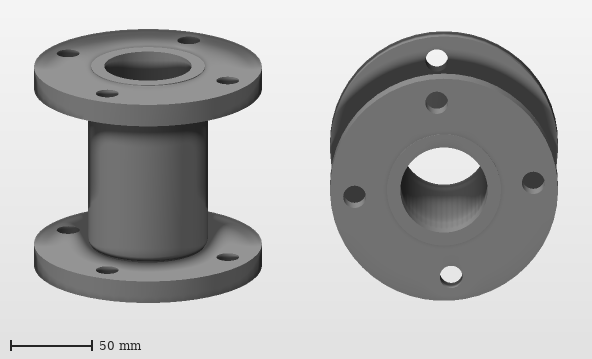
import cadquery as cq

flange_diameter = 140.0
flange_thickness = 14.0
overall_height = 130.0

collar_diameter = 70.0
collar_height = 0.5

body_diameter = 73.5
body_edge_radius = 3.2
bore_diameter = 53.6

bolt_hole_diameter = 14.0
bolt_circle_diameter = 110.0
bolt_hole_count = 4
first_bolt_angle = 45.0

lower_flange_base = collar_height
upper_flange_base = overall_height - collar_height - flange_thickness
body_base = lower_flange_base + flange_thickness + collar_height
body_height = overall_height - 2 * body_base


def cylinder(diameter, height, base=0.0):
    """Upright cylinder on the Z axis, starting at the given height."""
    return cq.Workplane("XY").workplane(offset=base).circle(diameter / 2).extrude(height)


def bolt_flange(base):
    """Flat disc with through bolt holes on the diagonals."""
    holes = (
        cq.Workplane("XY")
        .workplane(offset=base)
        .polarArray(bolt_circle_diameter / 2, first_bolt_angle, 360, bolt_hole_count)
        .circle(bolt_hole_diameter / 2)
        .extrude(flange_thickness)
    )
    return cylinder(flange_diameter, flange_thickness, base).cut(holes)


core = cylinder(collar_diameter, overall_height)

body = cylinder(body_diameter, body_height, body_base).edges("%CIRCLE").fillet(body_edge_radius)

bore = cylinder(bore_diameter, overall_height)

result = (
    core.union(body)
    .union(bolt_flange(lower_flange_base))
    .union(bolt_flange(upper_flange_base))
    .cut(bore)
)